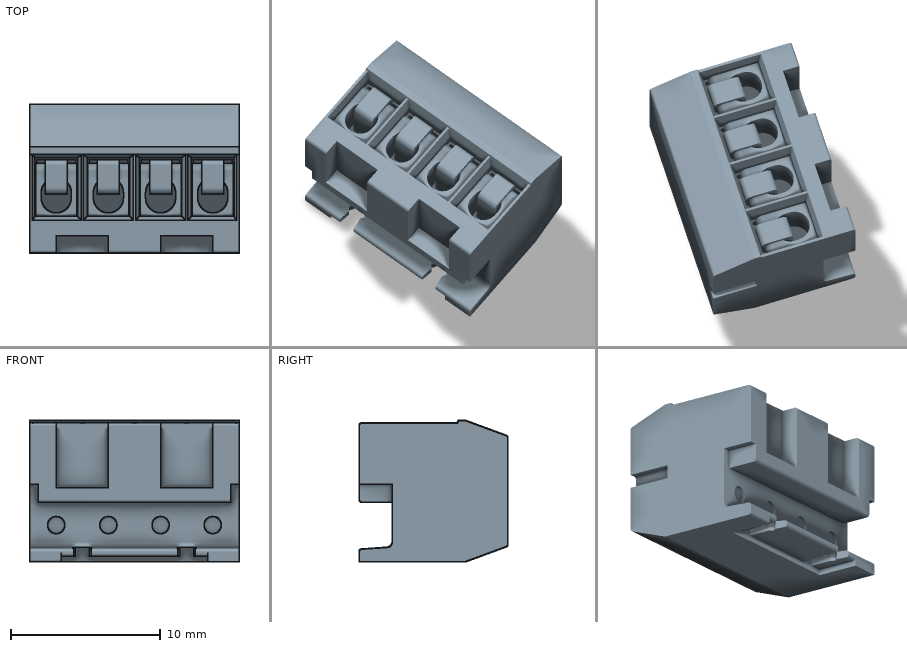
import cadquery as cq

WIDTH = 14.06
DEPTH = 10.0
HEIGHT = 9.5
PITCH = 3.5
TERMINALS = 4
TERMINAL_X = [(i - (TERMINALS - 1) / 2) * PITCH for i in range(TERMINALS)]
PAIR_X = [-PITCH, PITCH]

DECK_Z = 9.34
RIDGE_FRONT_Y = 6.65
BACK_SLOPE_RUN = 2.87
BACK_SLOPE_RISE = 1.05
RECESS_DEPTH = 2.22
NOSE_BOTTOM_Z = 4.0
FOOT_ROOT_Z = 1.01
FOOT_TIP_Z = 0.86
EDGE_RADIUS = 0.2
FOOT_ROOT_RADIUS = 0.37

NOSE_NOTCH_WIDTH = 0.58
NOSE_NOTCH_TOP_Z = 5.23
POCKET_WIDTH = PITCH
POCKET_DEPTH = 1.18
POCKET_FLOOR_Z = 4.98

PIN_HOLE_DIAMETER = 1.15
PIN_HOLE_Z = 2.47
PIN_HOLE_DEPTH = 0.2

TONGUE_SPAN = 9.8
TONGUE_BOTTOM_Z = 0.38
TONGUE_ROOT_Y = 3.0
FOOT_END_RADIUS = 0.15
SLOT_MOUTH_HALF = 0.59
SLOT_THROAT_HALF = 0.46
SLOT_NOTCH_HALF = 0.65
SLOT_THROAT_Y = 0.89
SLOT_NOTCH_Y = 1.12
SLOT_NECK_Y = 1.4
SLOT_TOP_Z = 1.0

GROOVE_BOTTOM_Z = 4.16
GROOVE_HEIGHT = 0.93
GROOVE_LENGTH = 3.07
GROOVE_DEPTH = 0.6
GROOVE_RADIUS = 0.17

DIVIDER_WIDTH = 0.14
END_WALL_WIDTH = 0.18
RIM_FRONT_Y = 2.22
RIM_INSET = 0.24
RIM_BOTTOM_Z = 8.7
CHAMBER_WIDTH = 2.87
CHAMBER_FLOOR_Z = 7.96
CHAMBER_FRONT_Y = RIM_FRONT_Y + RIM_INSET
CHAMBER_BACK_Y = RIDGE_FRONT_Y - RIM_INSET
BACK_TAPER = RIM_INSET / (HEIGHT - RIM_BOTTOM_Z)
RIM_BACK_Y = RIDGE_FRONT_Y - BACK_TAPER * (HEIGHT - DECK_Z)

PLATE_WIDTH = 2.74
PLATE_TOP_Z = 8.49
PLATE_BACK_Y = 6.03
PLATE_BACK_RADIUS = 0.52
PLATE_FRONT_RADIUS = 0.2
CLIP_WIDTH = 1.48
CLIP_FRONT_Y = 4.04
CLIP_LEAN = 0.1
CLIP_BACK_Y = 6.27
CLIP_TOP_Z = 8.77
CLIP_RADIUS = 0.37
PIT_WIDTH = 2.59
PIT_DEPTH = 0.7
WIRE_HOLE_WIDTH = 2.02
WIRE_HOLE_FRONT_Y = 2.7
WIRE_HOLE_LENGTH = 2.36
WIRE_HOLE_DEPTH = 2.81


def box(x_range, y_range, z_range):
    """Box between the given limits along X, Y and Z."""
    size = [high - low for low, high in (x_range, y_range, z_range)]
    corner = (x_range[0], y_range[0], z_range[0])
    return cq.Workplane("XY").box(*size, centered=False).translate(corner)


def centred(middle, width):
    """Lower and upper limit of a span of the given width."""
    return (middle - width / 2, middle + width / 2)


def round_long_edge(body, y, z, radius):
    """Round the edges along X that lie at the given Y and Z."""
    reach = 0.01
    low = (-WIDTH, y - reach, z - reach)
    high = (WIDTH, y + reach, z + reach)
    return body.edges("|X").edges(cq.selectors.BoxSelector(low, high)).fillet(radius)


def make_block():
    """Side profile swept across the whole width, with its long edges rounded."""
    back_slope_y = DEPTH - BACK_SLOPE_RUN
    outline = [
        (0, 0),
        (back_slope_y, 0),
        (DEPTH, BACK_SLOPE_RISE),
        (DEPTH, HEIGHT - BACK_SLOPE_RISE),
        (back_slope_y, HEIGHT),
        (RIDGE_FRONT_Y, HEIGHT),
        (RIM_BACK_Y, DECK_Z),
        (0, DECK_Z),
        (0, NOSE_BOTTOM_Z),
        (RECESS_DEPTH, NOSE_BOTTOM_Z),
        (RECESS_DEPTH, FOOT_ROOT_Z),
        (0, FOOT_TIP_Z),
    ]
    body = cq.Workplane("YZ").polyline(outline).close().extrude(WIDTH / 2, both=True)
    body = round_long_edge(body, DEPTH, BACK_SLOPE_RISE, EDGE_RADIUS)
    body = round_long_edge(body, DEPTH, HEIGHT - BACK_SLOPE_RISE, EDGE_RADIUS)
    body = round_long_edge(body, 0, DECK_Z, EDGE_RADIUS)
    body = round_long_edge(body, 0, NOSE_BOTTOM_Z, EDGE_RADIUS)
    body = round_long_edge(body, RECESS_DEPTH, FOOT_ROOT_Z, FOOT_ROOT_RADIUS)
    return round_long_edge(body, 0, FOOT_TIP_Z, EDGE_RADIUS)


def cut_nose(body):
    """End notches below the nose and the two tall pockets in its front."""
    notch_inner_x = WIDTH / 2 - NOSE_NOTCH_WIDTH
    for x_range in [(-WIDTH / 2, -notch_inner_x), (notch_inner_x, WIDTH / 2)]:
        body = body.cut(box(x_range, (0, RECESS_DEPTH), (NOSE_BOTTOM_Z, NOSE_NOTCH_TOP_Z)))
    for x in PAIR_X:
        pocket_x = centred(x, POCKET_WIDTH)
        body = body.cut(box(pocket_x, (0, POCKET_DEPTH), (POCKET_FLOOR_Z, DECK_Z)))
    return body


def cut_pin_holes(body):
    """Round blind holes in the recess wall, one below each terminal."""
    wall = cq.Workplane("XZ", origin=(0, RECESS_DEPTH, 0))
    centres = [(x, PIN_HOLE_Z) for x in TERMINAL_X]
    return body.cut(wall.pushPoints(centres).circle(PIN_HOLE_DIAMETER / 2).extrude(-PIN_HOLE_DEPTH))


def slot_cutter(x):
    """Foot slot that narrows from its mouth, with a notch in each side."""
    half_outline = [
        (SLOT_MOUTH_HALF, 0),
        (SLOT_THROAT_HALF, SLOT_THROAT_Y),
        (SLOT_NOTCH_HALF, SLOT_NOTCH_Y),
        (SLOT_THROAT_HALF, SLOT_NECK_Y),
        (SLOT_THROAT_HALF, TONGUE_ROOT_Y),
    ]
    other_half = [(-half, y) for half, y in reversed(half_outline)]
    outline = [(x + across, y) for across, y in half_outline + other_half]
    return cq.Workplane("XY").polyline(outline).close().extrude(SLOT_TOP_Z)


def cut_foot(body):
    """Thin the middle of the foot from below, then split it with the slots."""
    body = body.cut(box(centred(0, TONGUE_SPAN), (0, TONGUE_ROOT_Y), (0, TONGUE_BOTTOM_Z)))
    body = round_long_edge(body, 0, TONGUE_BOTTOM_Z, EDGE_RADIUS)
    left_end = cq.selectors.BoxSelector((-WIDTH, -0.14, -0.14), (-TONGUE_SPAN / 2, 0.14, 0.14))
    body = body.edges("|X").edges(left_end).fillet(FOOT_END_RADIUS)
    for x in PAIR_X:
        body = body.cut(slot_cutter(x))
    return body


def cut_side_groove(body):
    """Shallow groove in the left side, open at the back, with rounded floor corners."""
    left = -WIDTH / 2
    groove = box(
        (left, left + GROOVE_DEPTH),
        (DEPTH - GROOVE_LENGTH, DEPTH),
        (GROOVE_BOTTOM_Z, GROOVE_BOTTOM_Z + GROOVE_HEIGHT),
    )
    return body.cut(groove.edges("|Y and >X").fillet(GROOVE_RADIUS))


def well_cutter(x):
    """Tapered rim and straight chamber of one well."""
    rim_limit = WIDTH / 2 - END_WALL_WIDTH
    rim_left, rim_right = centred(x, PITCH - DIVIDER_WIDTH)
    rim_left = max(rim_left, -rim_limit)
    rim_right = min(rim_right, rim_limit)
    rim_size = (rim_right - rim_left, RIM_BACK_Y - RIM_FRONT_Y)
    chamber_size = (CHAMBER_WIDTH, CHAMBER_BACK_Y - CHAMBER_FRONT_Y)
    rim_y = (RIM_FRONT_Y + RIM_BACK_Y) / 2
    chamber_y = (CHAMBER_FRONT_Y + CHAMBER_BACK_Y) / 2
    rim_x = (rim_left + rim_right) / 2
    rim = (
        cq.Workplane("XY", origin=(rim_x, rim_y, DECK_Z))
        .rect(*rim_size)
        .workplane(offset=RIM_BOTTOM_Z - DECK_Z)
        .center(x - rim_x, chamber_y - rim_y)
        .rect(*chamber_size)
        .loft(ruled=True)
    )
    chamber = box(
        centred(x, CHAMBER_WIDTH),
        (CHAMBER_FRONT_Y, CHAMBER_BACK_Y),
        (CHAMBER_FLOOR_Z, RIM_BOTTOM_Z),
    )
    pit = box(
        centred(x, PIT_WIDTH),
        (PLATE_BACK_Y, CLIP_BACK_Y),
        (CHAMBER_FLOOR_Z - PIT_DEPTH, CHAMBER_FLOOR_Z),
    )
    return rim.union(chamber).union(pit)


def make_plate(x):
    """Contact plate on the chamber floor, rounded down at front and back."""
    plate = box(
        centred(x, PLATE_WIDTH),
        (CHAMBER_FRONT_Y, PLATE_BACK_Y),
        (CHAMBER_FLOOR_Z, PLATE_TOP_Z),
    )
    plate = plate.edges("|X and >Z and >Y").fillet(PLATE_BACK_RADIUS)
    return plate.edges("|X and >Z and <Y").fillet(PLATE_FRONT_RADIUS)


def wire_hole_cutter(x):
    """Round-ended wire hole going down from the contact plate."""
    middle_y = WIRE_HOLE_FRONT_Y + WIRE_HOLE_LENGTH / 2
    plane = cq.Workplane("XY", origin=(x, middle_y, PLATE_TOP_Z))
    return plane.slot2D(WIRE_HOLE_LENGTH, WIRE_HOLE_WIDTH, 90).extrude(-WIRE_HOLE_DEPTH)


def make_clip(x):
    """Spring clip standing in the back of the wire hole, its top rounded at both ends."""
    bottom_z = PLATE_TOP_Z - WIRE_HOLE_DEPTH
    outline = [
        (CLIP_FRONT_Y - CLIP_LEAN, bottom_z),
        (CLIP_BACK_Y, bottom_z),
        (CLIP_BACK_Y, CLIP_TOP_Z),
        (CLIP_FRONT_Y, CLIP_TOP_Z),
    ]
    plane = cq.Workplane("YZ", origin=(x, 0, 0))
    clip = plane.polyline(outline).close().extrude(CLIP_WIDTH / 2, both=True)
    return clip.edges("|X and >Z").fillet(CLIP_RADIUS)


result = make_block()
result = cut_nose(result)
result = cut_pin_holes(result)
result = cut_foot(result)
result = cut_side_groove(result)
for terminal_x in TERMINAL_X:
    result = result.cut(well_cutter(terminal_x))
    result = result.union(make_plate(terminal_x))
    result = result.cut(wire_hole_cutter(terminal_x))
    result = result.union(make_clip(terminal_x))